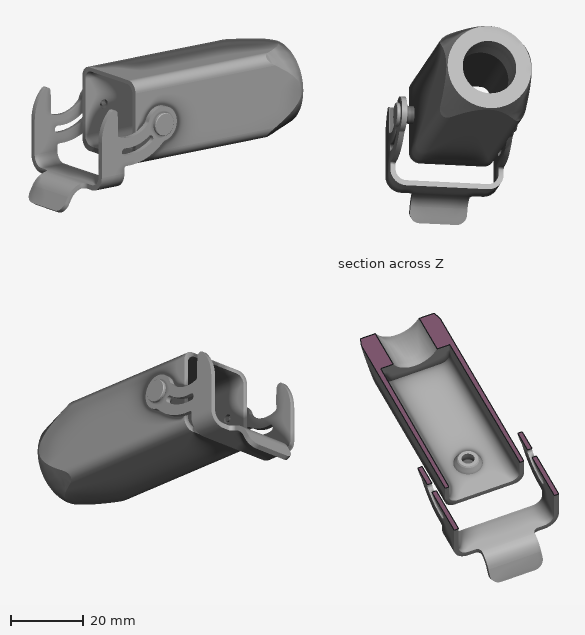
import cadquery as cq
import math


tube_side = 24.0
tube_length = 58.9
tube_corner_radius = 3.1
end_cone_radius = 11.8
end_cone_depth = 12.3
end_cone_slope = 0.32
cavity_height = 21.4
cavity_mouth_width = 21.4
cavity_end_width = 20.85
cavity_corner_radius = 2.6
cavity_rise = 0.2
cavity_depth = tube_length - end_cone_depth
cable_hole_diameter = 15.05

boss_y = 10.95
boss_base_radius = 4.1
boss_top_radius = 3.1
boss_height = 1.9
boss_rim_chamfer = 0.3
boss_hole_diameter = 3.6
boss_hole_depth = 2.45

pivot_y = 6.5
pin_diameter = 5.0
pin_head_diameter = 6.55
pin_head_chamfer = 0.2
overall_width = 34.0
pin_groove_diameter = 2.6
pin_core_diameter = 1.3
pin_groove_depth = 1.0

sheet = 1.5
lever_width = 31.9
lever_bottom = -16.5
bend_outer_radius = 4.5
strap_back = -6.9
strap_front = -14.8

arm_center_y = -5.2
arm_center_z = 7.1
arm_inner_radius = 9.1
arm_outer_radius = 17.2
arm_end_angle = 30.0
pivot_eye_radius = 5.0
eye_blend_radius = 1.5
slot_radius = 13.1
slot_width = 2.05
slot_start_angle = -34.5
slot_end_angle = 6.5

hook_back = -9.3
hook_bulge = 0.25
hook_front_radius = 11.7
hook_front_center_z = -2.0
hook_tip_radius = 1.2
hook_tip_angle = 45.0
hook_root_radius = 0.7
strap_root_radius = 0.65

tab_width = 16.0
tab_flat = 0.205
tab_bend_radius = 6.4
tab_bend_angle = 60.0
tab_straight = 4.75
tab_neck_radius = 1.5
tab_corner_radius = 2.9


def polar_yz(center, radius, angle):
    """Point on a circle in the YZ plane; the angle runs from straight down towards -Y."""
    a = math.radians(angle)
    return (center[0] - radius * math.sin(a), center[1] - radius * math.cos(a))


def rounded_block(width, height, length, radius):
    block = cq.Workplane("XY").box(width, length, height, centered=(True, False, True))
    return block.edges("|Y").fillet(radius)


def rounded_outline(width, height, radius):
    return cq.Sketch().rect(width, height).vertices().fillet(radius)


def cylinder_x(radius, x_start, x_end, y, z):
    """Cylinder along X between two X positions."""
    return cq.Workplane("YZ", origin=(x_start, 0, 0)).center(y, z).circle(radius).extrude(x_end - x_start)


def make_tube():
    tube = rounded_block(tube_side, tube_side, tube_length, tube_corner_radius)

    cone_base_radius = end_cone_radius + end_cone_slope * tube_length
    cone = (
        cq.Workplane("XY")
        .polyline([(0, 0), (cone_base_radius, 0), (end_cone_radius, tube_length), (0, tube_length)])
        .close()
        .revolve(360, (0, 0, 0), (0, 1, 0))
    )
    tube = tube.intersect(cone)

    cavity = (
        cq.Workplane("XZ", origin=(0, 0, cavity_rise))
        .placeSketch(
            rounded_outline(cavity_mouth_width, cavity_height, cavity_corner_radius),
            rounded_outline(cavity_end_width, cavity_height, cavity_corner_radius).moved(
                cq.Location(cq.Vector(0, 0, -cavity_depth))
            ),
        )
        .loft()
    )
    cable_hole = cq.Workplane("XZ").circle(cable_hole_diameter / 2).extrude(-tube_length)
    return tube.cut(cavity).cut(cable_hole)


def add_boss(tube):
    floor_z = cavity_rise - cavity_height / 2
    top_z = floor_z + boss_height
    root_z = (floor_z - tube_side / 2) / 2
    boss = (
        cq.Workplane("XZ", origin=(0, boss_y, 0))
        .polyline([
            (0, root_z),
            (boss_base_radius, root_z),
            (boss_base_radius, floor_z),
            (boss_top_radius, top_z - boss_rim_chamfer),
            (boss_top_radius - boss_rim_chamfer, top_z),
            (0, top_z),
        ])
        .close()
        .revolve(360, (0, 0, 0), (0, 1, 0))
    )
    hole = (
        cq.Workplane("XY", origin=(0, boss_y, top_z))
        .circle(boss_hole_diameter / 2)
        .extrude(-boss_hole_depth)
    )
    return tube.union(boss).cut(hole)


def make_pin():
    """Pin on the +X side, from inside the tube wall out to its head."""
    wall_x = (tube_side + cavity_mouth_width) / 4
    head_x = lever_width / 2
    shaft = cylinder_x(pin_diameter / 2, wall_x, head_x, pivot_y, 0)
    head = cylinder_x(pin_head_diameter / 2, head_x, overall_width / 2, pivot_y, 0)
    return shaft.union(head.faces("<X or >X").chamfer(pin_head_chamfer))


def make_pin_groove():
    """Ring groove around the pin's core, open to the cavity on the +X side."""
    groove_start = cavity_end_width / 2
    groove_end = cavity_mouth_width / 2 + pin_groove_depth
    ring = cylinder_x(pin_groove_diameter / 2, groove_start, groove_end, pivot_y, 0)
    core = cylinder_x(pin_core_diameter / 2, groove_start, groove_end, pivot_y, 0)
    return ring.cut(core)


def make_slot():
    center = (arm_center_y, arm_center_z)
    outer = slot_radius + slot_width / 2
    inner = slot_radius - slot_width / 2
    middle_angle = (slot_start_angle + slot_end_angle) / 2
    cap_angle = math.degrees(slot_width / 2 / slot_radius)
    return (
        cq.Workplane("YZ")
        .moveTo(*polar_yz(center, outer, slot_start_angle))
        .threePointArc(polar_yz(center, outer, middle_angle), polar_yz(center, outer, slot_end_angle))
        .threePointArc(
            polar_yz(center, slot_radius, slot_end_angle + cap_angle),
            polar_yz(center, inner, slot_end_angle),
        )
        .threePointArc(polar_yz(center, inner, middle_angle), polar_yz(center, inner, slot_start_angle))
        .threePointArc(
            polar_yz(center, slot_radius, slot_start_angle - cap_angle),
            polar_yz(center, outer, slot_start_angle),
        )
        .close()
        .extrude(sheet)
    )


def make_arm():
    """Flat side plate of the lever, one sheet thick from X = 0 towards +X."""
    center = (arm_center_y, arm_center_z)
    start_angle = math.degrees(math.atan2(arm_center_y - pivot_y, arm_center_z))
    middle_angle = (start_angle + arm_end_angle) / 2
    band = (
        cq.Workplane("YZ")
        .moveTo(*polar_yz(center, arm_outer_radius, start_angle))
        .threePointArc(
            polar_yz(center, arm_outer_radius, middle_angle),
            polar_yz(center, arm_outer_radius, arm_end_angle),
        )
        .lineTo(*polar_yz(center, arm_inner_radius, arm_end_angle))
        .threePointArc(
            polar_yz(center, arm_inner_radius, middle_angle),
            polar_yz(center, arm_inner_radius, start_angle),
        )
        .close()
        .extrude(sheet)
    )
    eye = cylinder_x(pivot_eye_radius, 0, sheet, pivot_y, 0)

    front_center = (strap_front + hook_front_radius, hook_front_center_z)
    tip_rise = 180 - hook_tip_angle
    tip_center = polar_yz(front_center, hook_front_radius - hook_tip_radius, tip_rise)
    tip_back = (tip_center[0] + hook_tip_radius, tip_center[1])
    bend_start_z = lever_bottom + bend_outer_radius
    inside_arm_z = arm_center_z - slot_radius
    hook_root_z = arm_center_z - arm_inner_radius
    hook_middle_z = (tip_back[1] + hook_root_z) / 2
    hook = (
        cq.Workplane("YZ")
        .moveTo(strap_back, bend_start_z)
        .lineTo(strap_front, bend_start_z)
        .lineTo(strap_front, hook_front_center_z)
        .threePointArc(
            polar_yz(front_center, hook_front_radius, 90 + hook_tip_angle / 2),
            polar_yz(front_center, hook_front_radius, tip_rise),
        )
        .threePointArc((tip_center[0], tip_center[1] + hook_tip_radius), tip_back)
        .threePointArc((hook_back + hook_bulge, hook_middle_z), (hook_back, hook_root_z))
        .lineTo(hook_back, inside_arm_z)
        .lineTo(strap_back, inside_arm_z)
        .close()
        .extrude(sheet)
    )
    arm = band.union(eye).union(hook)

    inner_corner = (pivot_y - pivot_eye_radius, 0)
    outer_corner = (pivot_y, -pivot_eye_radius)
    hook_corner = (hook_back, hook_root_z)
    strap_corner = (strap_back, arm_center_z - arm_outer_radius)
    corners = [
        (inner_corner, eye_blend_radius),
        (outer_corner, eye_blend_radius),
        (hook_corner, hook_root_radius),
        (strap_corner, strap_root_radius),
    ]
    for (y, z), radius in corners:
        nearest = cq.selectors.NearestToPointSelector((sheet / 2, y, z))
        arm = arm.edges("|X").edges(nearest).fillet(radius)
    return arm.cut(make_slot())


def make_strap():
    """U-bent strap joining the two arms below the tube."""
    length = strap_back - strap_front
    bend_start_z = lever_bottom + bend_outer_radius

    def bent_block(width, bottom, radius):
        block = (
            cq.Workplane("XY", origin=(0, strap_front, bottom))
            .box(width, length, 2 * bend_outer_radius, centered=(True, False, False))
        )
        return block.edges("|Y and <Z").fillet(radius)

    outer = bent_block(lever_width, lever_bottom, bend_outer_radius)
    inner = bent_block(lever_width - 2 * sheet, lever_bottom + sheet, bend_outer_radius - sheet)
    above_bend = (
        cq.Workplane("XY", origin=(0, strap_front, bend_start_z))
        .box(lever_width, length, bend_outer_radius, centered=(True, False, False))
    )
    return outer.cut(inner).cut(above_bend)


def make_tab():
    """Finger tab bent downwards from the front edge of the strap."""
    top_z = lever_bottom + sheet
    bend_center = (strap_front - tab_flat, top_z - tab_bend_radius)
    inner_radius = tab_bend_radius - sheet
    angle = math.radians(tab_bend_angle)
    run = tab_straight * math.cos(angle)
    drop = tab_straight * math.sin(angle)

    def on_bend(radius, fraction):
        return polar_yz(bend_center, radius, 180 - fraction * tab_bend_angle)

    flared_half_width = tab_width / 2 + tab_neck_radius
    outer_end = on_bend(tab_bend_radius, 1)
    inner_end = on_bend(inner_radius, 1)
    sheet_profile = (
        cq.Workplane("YZ", origin=(-flared_half_width, 0, 0))
        .moveTo(strap_back, top_z)
        .lineTo(bend_center[0], top_z)
        .threePointArc(on_bend(tab_bend_radius, 0.5), outer_end)
        .lineTo(outer_end[0] - run, outer_end[1] - drop)
        .lineTo(inner_end[0] - run, inner_end[1] - drop)
        .lineTo(*inner_end)
        .threePointArc(on_bend(inner_radius, 0.5), (bend_center[0], lever_bottom))
        .lineTo(strap_back, lever_bottom)
        .close()
        .extrude(2 * flared_half_width)
    )

    half = tab_width / 2
    neck_y = strap_front - tab_neck_radius
    end_y = strap_front - 2 * tab_bend_radius
    neck_offset = tab_neck_radius * (1 - math.sqrt(0.5))
    plan = (
        cq.Workplane("XY", origin=(0, 0, 2 * lever_bottom))
        .moveTo(-half, end_y)
        .lineTo(-half, neck_y)
        .threePointArc((-half - neck_offset, strap_front - neck_offset), (-flared_half_width, strap_front))
        .lineTo(-flared_half_width, strap_back)
        .lineTo(flared_half_width, strap_back)
        .lineTo(flared_half_width, strap_front)
        .threePointArc((half + neck_offset, strap_front - neck_offset), (half, neck_y))
        .lineTo(half, end_y)
        .close()
        .extrude(-2 * lever_bottom)
    )
    tab = sheet_profile.intersect(plan)
    for side in (-half, half):
        end_corner = (side, outer_end[0] - run, inner_end[1] - drop)
        nearest = cq.selectors.NearestToPointSelector(end_corner)
        across_sheet = cq.selectors.ParallelDirSelector(cq.Vector(0, math.sin(angle), -math.cos(angle)))
        tab = tab.edges(across_sheet).edges(nearest).fillet(tab_corner_radius)
    return tab


def both_sides(shape):
    return shape.union(shape.mirror("YZ"))


arm_x = lever_width / 2 - sheet
lever = both_sides(make_arm().translate((arm_x, 0, 0))).union(make_strap()).union(make_tab())
hood = add_boss(make_tube())
result = hood.union(both_sides(make_pin())).union(lever).cut(both_sides(make_pin_groove()))